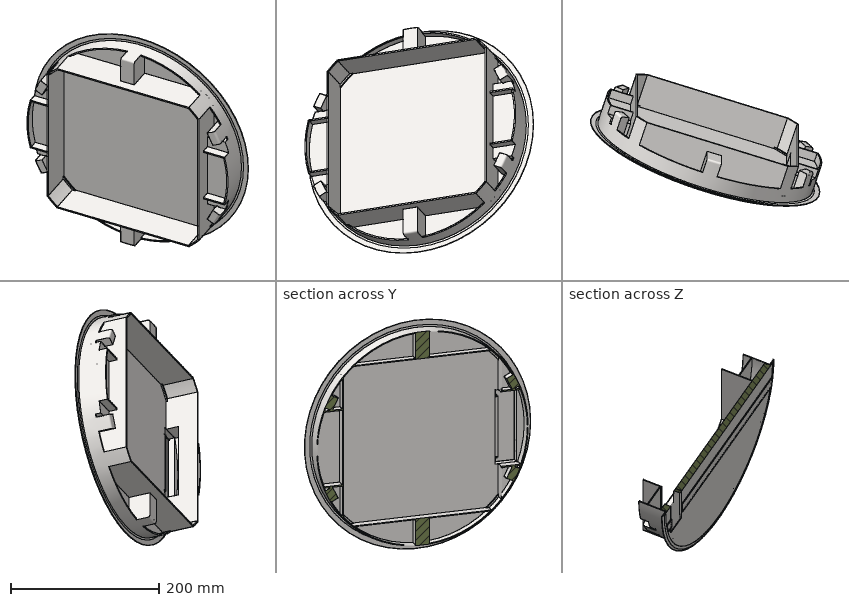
import cadquery as cq
import math


FLANGE_RADIUS = 162.5
FLANGE_THICKNESS = 2.5
FLANGE_BEVEL_WIDTH = 3.2
FLANGE_BEVEL_HEIGHT = 1.5
SKIRT_RADIUS = 152.5
WALL = 2.0
SKIRT_BORE = SKIRT_RADIUS - WALL
SKIRT_DEPTH = 20.0
BLANK_ALLOWANCE = 6.5
BLANK_RADIUS = SKIRT_RADIUS + BLANK_ALLOWANCE

FLOOR_TOP = 7.0
FLOOR_DEPTH = FLOOR_TOP + WALL
WELL_HALF = 115.0
WELL_BORE_HALF = WELL_HALF - WALL
WELL_DEPTH = 53.3
WELL_MOUTH_RADIUS = 148.0

LEG_DEPTH = 40.0
LEG_WIDTH = 20.5
TAB_EDGE_FILLET = 3.0
LEG_ANGLES = [90, 270]
CLIP_WIDTH = 19.5
CLIP_INNER_RADIUS = 139.8
CLIP_ANGLE = 26.5
CLIP_ANGLES = [CLIP_ANGLE, 180 - CLIP_ANGLE, 180 + CLIP_ANGLE, 360 - CLIP_ANGLE]

CHAMBER_HALF = 55.2
CHAMBER_BORE_HALF = 52.5
CHAMBER_DEPTH = 28.0
RIB_OUTER = 39.3
RIB_INNER = RIB_OUTER - WALL
CABLE_WINDOW_DEPTH = 25.0

LID_RIM_RADIUS = 155.0
LID_RIM_THICKNESS = 1.5
LID_SEAT = LID_RIM_THICKNESS - FLANGE_THICKNESS
STRIP_HEIGHT = 1.3
STRIP_TOP_Z = -25.5
STRIP_BOTTOM_Z = -41.3

SLOT_INNER_X = 108.5
SLOT_OUTER_X = 139.8
FLAP_THICKNESS = 1.0
FLAP_BAR_HALF = 43.0
FLAP_SHOULDER_HALF = FLAP_BAR_HALF + WALL
FLAP_SHOULDER_DROP = 2.0
FLAP_RIDGE_X = 111.8
FLAP_RIDGE_HEIGHT = 1.3


def at_depth(depth):
    """Workplane parallel to XZ whose extrusions go toward -Y."""
    return cq.Workplane("XZ", origin=(0, -depth, 0))


def disc(radius, start, end):
    return at_depth(start).circle(radius).extrude(end - start)


def block(x_min, x_max, z_min, z_max, start, end):
    sketch = at_depth(start).center((x_min + x_max) / 2, (z_min + z_max) / 2)
    return sketch.rect(x_max - x_min, z_max - z_min).extrude(end - start)


def rounded_square(half, radius, start, end):
    """Square whose corners are cut off by a circle."""
    return block(-half, half, -half, half, start, end).intersect(disc(radius, start, end))


def make_flange():
    flange = disc(FLANGE_RADIUS, -FLANGE_THICKNESS, 0)
    flange = flange.faces(">Y").chamfer(FLANGE_BEVEL_HEIGHT, FLANGE_BEVEL_WIDTH)
    return flange.cut(disc(LID_RIM_RADIUS, -FLANGE_THICKNESS, LID_SEAT))


def make_chamber(side):
    """Raised cable chamber with two ribs and a deeper stretch of skirt; side is -1 or +1."""
    x_near, x_far = sorted((side * WELL_BORE_HALF, side * BLANK_RADIUS))
    chamber = block(x_near, x_far, -CHAMBER_HALF, CHAMBER_HALF, FLOOR_TOP, CHAMBER_DEPTH)
    tray = block(x_near, x_far, -RIB_OUTER, RIB_OUTER, FLOOR_TOP, LEG_DEPTH)
    recess = block(x_near, x_far, -RIB_INNER, RIB_INNER, CHAMBER_DEPTH, LEG_DEPTH)
    recess = recess.intersect(disc(SKIRT_BORE, CHAMBER_DEPTH, LEG_DEPTH))
    return chamber.union(tray).cut(recess)


def make_chamber_hollow(side):
    x_near, x_far = sorted((side * WELL_HALF, side * BLANK_RADIUS))
    end = CHAMBER_DEPTH - WALL
    hollow = block(x_near, x_far, -CHAMBER_BORE_HALF, CHAMBER_BORE_HALF, FLOOR_TOP, end)
    return hollow.intersect(disc(SKIRT_BORE, FLOOR_TOP, end))


def make_tab(width, inner_radius, angle):
    """Bar from inner_radius out past the skirt, turned about Y by the angle from +X toward +Z."""
    tab = block(inner_radius, BLANK_RADIUS, -width / 2, width / 2, FLOOR_TOP, LEG_DEPTH)
    return tab.rotate((0, 0, 0), (0, 1, 0), -angle)


def round_tab_edge(body, angle):
    """Round the outer end edge of the tab that stands at the angle."""
    turn = math.radians(angle)
    middle = (SKIRT_RADIUS * math.cos(turn), -LEG_DEPTH, SKIRT_RADIUS * math.sin(turn))
    return body.edges(cq.selectors.NearestToPointSelector(middle)).fillet(TAB_EDGE_FILLET)


def make_frame():
    """Oversize blank of skirt, well, chambers and tabs, turned to the skirt radius and hollowed."""
    body = disc(BLANK_RADIUS, 0, SKIRT_DEPTH).cut(disc(SKIRT_BORE, FLOOR_DEPTH, SKIRT_DEPTH))
    body = body.union(block(-WELL_HALF, WELL_HALF, -WELL_HALF, WELL_HALF, FLOOR_TOP, WELL_DEPTH))
    for side in (-1, 1):
        body = body.union(make_chamber(side))
    for angle in LEG_ANGLES:
        body = body.union(make_tab(LEG_WIDTH, WELL_BORE_HALF, angle))
    for angle in CLIP_ANGLES:
        body = body.union(make_tab(CLIP_WIDTH, CLIP_INNER_RADIUS, angle))
    body = body.intersect(disc(SKIRT_RADIUS, 0, WELL_DEPTH))
    for angle in LEG_ANGLES + CLIP_ANGLES:
        body = round_tab_edge(body, angle)

    for side in (-1, 1):
        body = body.cut(make_chamber_hollow(side))
    body = body.cut(rounded_square(WELL_BORE_HALF, SKIRT_BORE, FLOOR_DEPTH, WELL_DEPTH))
    body = body.cut(rounded_square(WELL_BORE_HALF, WELL_MOUTH_RADIUS, FLOOR_TOP, FLOOR_DEPTH))
    window = block(
        WELL_BORE_HALF, WELL_HALF, -CHAMBER_BORE_HALF, CHAMBER_BORE_HALF, FLOOR_TOP, CABLE_WINDOW_DEPTH
    )
    return body.cut(window).union(make_flange()).cut(disc(SKIRT_BORE, LID_SEAT, FLOOR_TOP))


def make_lid():
    """Plug with a wider rim, a raised strip across its outer face and the cable slot."""
    lid = disc(SKIRT_BORE, LID_SEAT, FLOOR_TOP).union(disc(LID_RIM_RADIUS, -FLANGE_THICKNESS, LID_SEAT))
    strip_top = -FLANGE_THICKNESS - STRIP_HEIGHT
    strip = block(
        -LID_RIM_RADIUS, LID_RIM_RADIUS, STRIP_BOTTOM_Z, STRIP_TOP_Z, strip_top, -FLANGE_THICKNESS
    )
    lid = lid.union(strip.intersect(disc(LID_RIM_RADIUS, strip_top, -FLANGE_THICKNESS)))
    slot = block(
        SLOT_INNER_X, SLOT_OUTER_X, -CHAMBER_BORE_HALF, CHAMBER_BORE_HALF, strip_top, FLOOR_TOP
    )
    return lid.cut(slot)


def make_flap():
    """Thin plate that fills the outer end of the cable slot, with a shouldered bar and a low ridge."""
    plate_end = FLAP_THICKNESS - FLANGE_THICKNESS
    plate = block(
        SLOT_INNER_X, SLOT_OUTER_X, -CHAMBER_BORE_HALF, CHAMBER_BORE_HALF, -FLANGE_THICKNESS, plate_end
    )
    ridge_end = plate_end + FLAP_RIDGE_HEIGHT
    shoulder_end = FLOOR_TOP - FLAP_SHOULDER_DROP
    ridge = block(SLOT_INNER_X, FLAP_RIDGE_X, -CHAMBER_BORE_HALF, CHAMBER_BORE_HALF, plate_end, ridge_end)
    shoulder = block(
        SLOT_INNER_X, FLAP_RIDGE_X, -FLAP_SHOULDER_HALF, FLAP_SHOULDER_HALF, plate_end, shoulder_end
    )
    bar = block(SLOT_INNER_X, WELL_BORE_HALF, -FLAP_BAR_HALF, FLAP_BAR_HALF, plate_end, FLOOR_TOP)
    return plate.union(ridge).union(shoulder).union(bar)


frame = make_frame()
lid = make_lid()
flap = make_flap()

result = cq.Compound.makeCompound([frame.val(), lid.val(), flap.val()])